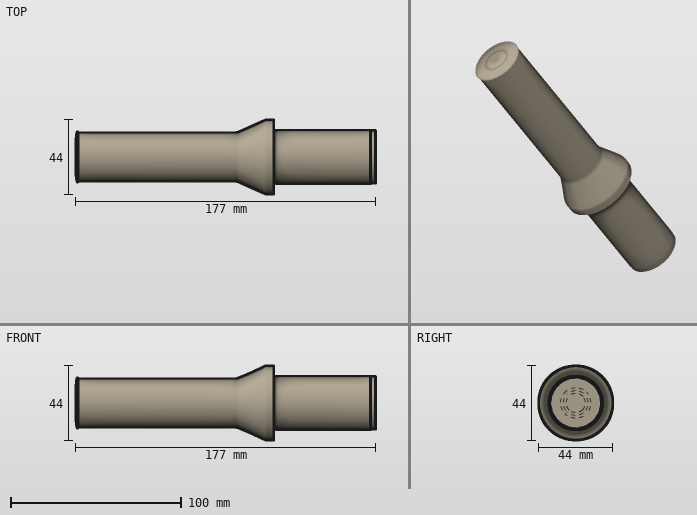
import cadquery as cq
import math

TOTAL_LENGTH = 177.0

INSERT_DIAMETER = 30.0
INSERT_LENGTH = 1.8
FACE_DIAMETER = 26.2
FACE_SETBACK = 0.5
RIM_START = 0.9
RIM_END = 1.5
GROOVE_OUTER_DIAMETER = 17.9
GROOVE_FLOOR_DIAMETER = 14.5
GROOVE_INNER_DIAMETER = 11.3
GROOVE_DEPTH = 0.5
DIMPLE_DEPTH = 0.5

BARREL_DIAMETER = 29.0
COLLAR_DIAMETER = 44.0
SHANK_DIAMETER = 32.0
NECK_DIAMETER = 31.5
CONE_START = 94.3
CONE_ROOT_RADIUS = 5.0
CONE_ANGLE = math.radians(24.2)
COLLAR_EDGE_RADIUS = 3.5
COLLAR_END = 117.0
COLLAR_CHAMFER = 0.4
NECK_END = 118.0
NECK_TAPER_END = 119.0
SHANK_END = 173.5
PILOT_START = 173.8
PILOT_CHAMFER = 0.7


def make_insert():
    """Disc with a slightly conical face, a bevelled rim, a V-groove ring and a shallow central dimple."""
    profile = [
        (DIMPLE_DEPTH, 0),
        (0, GROOVE_INNER_DIAMETER / 2),
        (GROOVE_DEPTH, GROOVE_FLOOR_DIAMETER / 2),
        (0, GROOVE_OUTER_DIAMETER / 2),
        (FACE_SETBACK, FACE_DIAMETER / 2),
        (RIM_START, BARREL_DIAMETER / 2),
        (RIM_END, INSERT_DIAMETER / 2),
        (INSERT_LENGTH, BARREL_DIAMETER / 2),
        (INSERT_LENGTH, 0),
    ]
    return cq.Workplane("XY").polyline(profile).close().revolve(360, (0, 0, 0), (1, 0, 0))


def arc_point(center_x, center_radius, radius, angle):
    """Point on an arc, with the angle measured from the outward radial direction."""
    return center_x + radius * math.sin(angle), center_radius + radius * math.cos(angle)


def make_holder():
    """Turned holder, revolved from half of its lengthwise section."""
    barrel_radius = BARREL_DIAMETER / 2
    collar_radius = COLLAR_DIAMETER / 2
    shank_radius = SHANK_DIAMETER / 2
    neck_radius = NECK_DIAMETER / 2

    root_center = (CONE_START, barrel_radius + CONE_ROOT_RADIUS)
    root_middle = arc_point(*root_center, CONE_ROOT_RADIUS, math.pi - CONE_ANGLE / 2)
    root_end = arc_point(*root_center, CONE_ROOT_RADIUS, math.pi - CONE_ANGLE)

    edge_center_radius = collar_radius - COLLAR_EDGE_RADIUS
    edge_start_radius = edge_center_radius + COLLAR_EDGE_RADIUS * math.cos(CONE_ANGLE)
    edge_start_x = root_end[0] + (edge_start_radius - root_end[1]) / math.tan(CONE_ANGLE)
    edge_end_x = edge_start_x + COLLAR_EDGE_RADIUS * math.sin(CONE_ANGLE)
    edge_middle = arc_point(edge_end_x, edge_center_radius, COLLAR_EDGE_RADIUS, -CONE_ANGLE / 2)

    section = (
        cq.Workplane("XY")
        .moveTo(INSERT_LENGTH, 0)
        .lineTo(INSERT_LENGTH, barrel_radius)
        .lineTo(CONE_START, barrel_radius)
        .threePointArc(root_middle, root_end)
        .lineTo(edge_start_x, edge_start_radius)
        .threePointArc(edge_middle, (edge_end_x, collar_radius))
        .lineTo(COLLAR_END - COLLAR_CHAMFER, collar_radius)
        .lineTo(COLLAR_END, collar_radius - COLLAR_CHAMFER)
        .lineTo(COLLAR_END, neck_radius)
        .lineTo(NECK_END, neck_radius)
        .lineTo(NECK_TAPER_END, shank_radius)
        .lineTo(SHANK_END, shank_radius)
        .lineTo(PILOT_START, neck_radius)
        .lineTo(TOTAL_LENGTH - PILOT_CHAMFER, neck_radius)
        .lineTo(TOTAL_LENGTH, neck_radius - PILOT_CHAMFER)
        .lineTo(TOTAL_LENGTH, 0)
        .close()
    )
    return section.revolve(360, (0, 0, 0), (1, 0, 0))


insert = make_insert()
holder = make_holder()

result = cq.Compound.makeCompound([insert.val(), holder.val()])